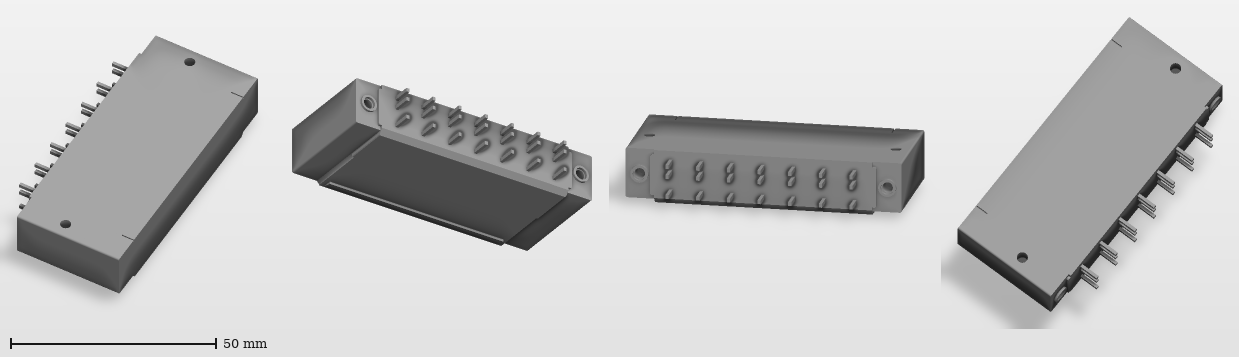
import cadquery as cq

OVERLAP = 0.5

CORE_LENGTH = 29.25
CORE_HALF_WIDTH = 27.1
CORE_HEIGHT = 13.65
OVERALL_HEIGHT = 14.32
FRONT_BEVEL_HEIGHT = 1.42
FRONT_BEVEL_DEPTH = 1.3
BOTTOM_SIDE_CHAMFER = 0.2

OVERALL_WIDTH = 68.58
FLANGE_SETBACK = 0.65
FLANGE_HEIGHT = 12.6
FLANGE_EDGE_RADIUS = 0.45

LIP_HALF_WIDTH = 28.05
LIP_TOP = -1.25
LIP_BOTTOM = -11.5
LIP_CORNER = 0.3

PIN_LENGTH = 5.0
PIN_WIDTH = 0.8
PIN_HEIGHT = 1.0
PIN_PITCH = 7.62
PINS_PER_ROW = 7
ROW_PITCH = 2.54
TOP_ROW_Z = -2.6
ROW_STEPS = (0, 1, 3)

BOSS_Y = 30.8
BOSS_Z = -6.35
BOSS_RADIUS = 2.2
BOSS_COUNTERBORE_RADIUS = 1.6
BOSS_COUNTERBORE_DEPTH = 0.75
BOSS_HOLE_RADIUS = 1.3
BOSS_HOLE_DEPTH = 5.0

TOP_HOLE_X = 12.2
TOP_HOLE_Y = 30.6
TOP_HOLE_RADIUS = 1.35
TOP_HOLE_DEPTH = 4.0

RIDGE_HALF_WIDTH = 25.2
RIDGE_HEIGHT = OVERALL_HEIGHT - CORE_HEIGHT
RIDGE_START_X = 26.3

UNDERCUT_START_X = 13.5
UNDERCUT_DEPTH = 0.6
UNDERCUT_TOP = -FLANGE_HEIGHT
UNDERCUT_SLOPE_BOTTOM = -13.3

SLOT_START_X = 25.9
SLOT_WIDTH = 0.3
SLOT_DEPTH = 0.5


def block(x0, x1, y0, y1, z0, z1):
    """Axis-aligned box between two opposite corners."""
    return cq.Workplane("XY").box(x1 - x0, y1 - y0, z1 - z0, centered=False).translate((x0, y0, z0))


def rod(x0, x1, y, z, radius):
    """Cylinder along X."""
    return cq.Workplane("YZ", origin=(x0, y, z)).circle(radius).extrude(x1 - x0)


def make_core():
    profile = [
        (0, 0),
        (CORE_LENGTH, 0),
        (CORE_LENGTH, -CORE_HEIGHT),
        (FRONT_BEVEL_DEPTH, -CORE_HEIGHT),
        (0, FRONT_BEVEL_HEIGHT - CORE_HEIGHT),
    ]
    core = cq.Workplane("XZ").polyline(profile).close().extrude(CORE_HALF_WIDTH, both=True)
    return core.faces("<Z").edges("|X").chamfer(BOTTOM_SIDE_CHAMFER)


def make_lip():
    lip = block(0, FLANGE_SETBACK + OVERLAP, -LIP_HALF_WIDTH, LIP_HALF_WIDTH, LIP_BOTTOM, LIP_TOP)
    return lip.edges("|X").chamfer(LIP_CORNER)


def make_flange():
    """Flange on the +Y end."""
    inner_y = CORE_HALF_WIDTH - OVERLAP
    flange = block(FLANGE_SETBACK, CORE_LENGTH, inner_y, OVERALL_WIDTH / 2, -FLANGE_HEIGHT, 0)
    flange = flange.faces(">Y").edges("|X").fillet(FLANGE_EDGE_RADIUS)
    flange = flange.union(rod(0, FLANGE_SETBACK + OVERLAP, BOSS_Y, BOSS_Z, BOSS_RADIUS))
    flange = flange.cut(rod(0, BOSS_COUNTERBORE_DEPTH, BOSS_Y, BOSS_Z, BOSS_COUNTERBORE_RADIUS))
    flange = flange.cut(rod(0, BOSS_HOLE_DEPTH, BOSS_Y, BOSS_Z, BOSS_HOLE_RADIUS))
    top_hole = cq.Workplane("XY", origin=(TOP_HOLE_X, TOP_HOLE_Y, 0)).circle(TOP_HOLE_RADIUS)
    return flange.cut(top_hole.extrude(-TOP_HOLE_DEPTH))


def make_pins():
    pins = cq.Workplane("XY")
    for step in ROW_STEPS:
        z = TOP_ROW_Z - step * ROW_PITCH
        for index in range(PINS_PER_ROW):
            y = (index - (PINS_PER_ROW - 1) / 2) * PIN_PITCH
            pin = block(
                -PIN_LENGTH, OVERLAP,
                y - PIN_WIDTH / 2, y + PIN_WIDTH / 2,
                z - PIN_HEIGHT / 2, z + PIN_HEIGHT / 2,
            )
            pins = pins.add(pin)
    return pins.combine()


def make_ridge():
    """Ridge with a steep front and a ramp rising to the rear face."""
    profile = [
        (RIDGE_START_X, OVERLAP - CORE_HEIGHT),
        (RIDGE_START_X, -CORE_HEIGHT - RIDGE_HEIGHT),
        (CORE_LENGTH, -CORE_HEIGHT),
        (CORE_LENGTH, OVERLAP - CORE_HEIGHT),
    ]
    return cq.Workplane("XZ").polyline(profile).close().extrude(RIDGE_HALF_WIDTH, both=True)


def make_undercut():
    """Sloped recess under the +Y flange."""
    floor_y = CORE_HALF_WIDTH - UNDERCUT_DEPTH
    profile = [
        (CORE_HALF_WIDTH, UNDERCUT_TOP),
        (floor_y, UNDERCUT_SLOPE_BOTTOM),
        (floor_y, -CORE_HEIGHT),
        (CORE_HALF_WIDTH, -CORE_HEIGHT),
    ]
    plane = cq.Workplane("YZ", origin=(UNDERCUT_START_X, 0, 0))
    return plane.polyline(profile).close().extrude(CORE_LENGTH - UNDERCUT_START_X)


def make_slot():
    """Slot beside the +Y flange, open at the top and the rear."""
    return block(SLOT_START_X, CORE_LENGTH, CORE_HALF_WIDTH - SLOT_WIDTH, CORE_HALF_WIDTH, -SLOT_DEPTH, 0)


def both_ends(body):
    """The body together with its mirror image across Y = 0."""
    return body.add(body.mirror("XZ")).combine()


result = make_core().union(make_lip())
result = result.union(both_ends(make_flange()))
result = result.union(make_ridge())
result = result.union(make_pins())
result = result.cut(both_ends(make_undercut()))
result = result.cut(both_ends(make_slot()))